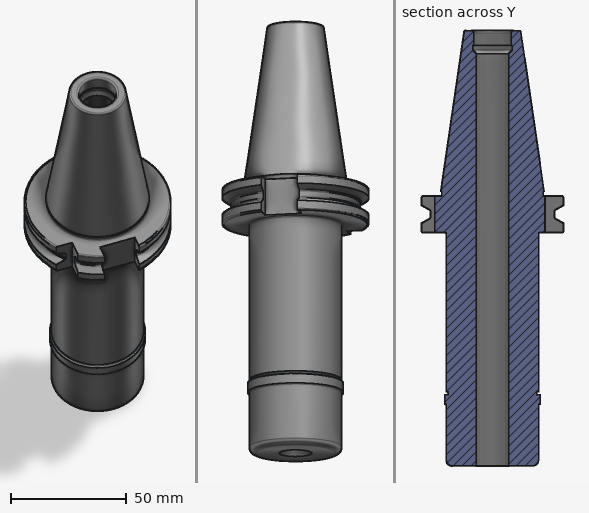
import cadquery as cq
import math

total_height = 188.4
gauge_plane_z = 120.0
flange_top_z = 116.8
flange_bottom_z = 101.0

gauge_radius = 22.2
taper_ratio = 7 / 24
taper_top_rounding = 0.8

undercut_height = 2.0
undercut_depth = 0.4
undercut_rounding = 0.28

flange_diameter = 63.5
flange_radius = flange_diameter / 2
flange_edge_rounding = 0.8
groove_floor_radius = 28.0
groove_floor_width = 3.4
groove_flank_angle = 30.0
groove_floor_rounding = 0.8
groove_center_z = 108.9

slot_width = 16.0
slot_floor_left = 22.8
slot_floor_right = 25.0
notch_corner = 18.5

body_diameter = 40.1
body_radius = body_diameter / 2
corner_rounding = 0.5
relief_radius = 19.2
relief_height = 1.3
relief_rounding = 0.4
ring_radius = 20.7
ring_top_z = 30.9
ring_height = 4.1
ring_rounding = 0.4
nose_rounding = 2.6

bore_radius = 7.0
counterbore_radius = 8.1
counterbore_depth = 8.5
mouth_rounding = 1.0


def point_towards(start, target, distance):
    """Point at the given distance from start along the line to target."""
    share = distance / math.dist(start, target)
    return (start[0] + (target[0] - start[0]) * share, start[1] + (target[1] - start[1]) * share)


def turned_solid(corners):
    """Revolve a closed (radius, height, rounding) outline about Z, rounding its corners."""
    outline = cq.Workplane("XZ").moveTo(*corners[0][:2])
    for index in range(1, len(corners)):
        corner = corners[index][:2]
        rounding = corners[index][2]
        if rounding == 0:
            outline = outline.lineTo(*corner)
            continue
        before = corners[index - 1][:2]
        after = corners[(index + 1) % len(corners)][:2]
        angle_before = math.atan2(before[1] - corner[1], before[0] - corner[0])
        angle_after = math.atan2(after[1] - corner[1], after[0] - corner[0])
        half_angle = abs(math.remainder(angle_after - angle_before, 2 * math.pi)) / 2
        arc_start = point_towards(corner, before, rounding / math.tan(half_angle))
        arc_end = point_towards(corner, after, rounding / math.tan(half_angle))
        chord_middle = ((arc_start[0] + arc_end[0]) / 2, (arc_start[1] + arc_end[1]) / 2)
        arc_middle = point_towards(corner, chord_middle, rounding / math.sin(half_angle) - rounding)
        outline = outline.lineTo(*arc_start).threePointArc(arc_middle, arc_end)
    return outline.close().revolve(360, (0, 0), (0, 1))


def taper_radius(height):
    """Radius of the taper cone at a given height."""
    return gauge_radius - (height - gauge_plane_z) * taper_ratio / 2


def holder_blank():
    """Hollow turned form: nose, ring, body, grooved flange, taper and stepped bore."""
    flank_height = (flange_radius - groove_floor_radius) * math.tan(math.radians(groove_flank_angle))
    floor_top_z = groove_center_z + groove_floor_width / 2
    floor_bottom_z = groove_center_z - groove_floor_width / 2
    ring_bottom_z = ring_top_z - ring_height
    relief_top_z = ring_top_z + relief_height
    taper_base_z = flange_top_z + undercut_height
    taper_base_radius = taper_radius(taper_base_z)
    undercut_radius = taper_base_radius - undercut_depth
    shoulder_z = total_height - counterbore_depth
    bore_undercut_radius = counterbore_radius + undercut_depth
    bore_undercut_top_z = shoulder_z + undercut_height
    seat_z = shoulder_z - (bore_undercut_radius - bore_radius)
    return turned_solid([
        (bore_radius, 0, 0),
        (body_radius, 0, nose_rounding),
        (body_radius, ring_bottom_z, ring_rounding),
        (ring_radius, ring_bottom_z, 0),
        (ring_radius, ring_top_z, 0),
        (relief_radius, ring_top_z, relief_rounding),
        (relief_radius, relief_top_z, relief_rounding),
        (body_radius, relief_top_z, 0),
        (body_radius, flange_bottom_z, corner_rounding),
        (flange_radius, flange_bottom_z, flange_edge_rounding),
        (flange_radius, floor_bottom_z - flank_height, 0),
        (groove_floor_radius, floor_bottom_z, groove_floor_rounding),
        (groove_floor_radius, floor_top_z, groove_floor_rounding),
        (flange_radius, floor_top_z + flank_height, 0),
        (flange_radius, flange_top_z, flange_edge_rounding),
        (undercut_radius, flange_top_z, undercut_rounding),
        (undercut_radius, taper_base_z, undercut_rounding),
        (taper_base_radius, taper_base_z, 0),
        (taper_radius(total_height), total_height, taper_top_rounding),
        (counterbore_radius, total_height, mouth_rounding),
        (counterbore_radius, bore_undercut_top_z, 0),
        (bore_undercut_radius, bore_undercut_top_z, undercut_rounding),
        (bore_undercut_radius, shoulder_z, undercut_rounding),
        (bore_radius, seat_z, 0),
    ])


def flange_cutter(x_start, x_end, y_start, y_end):
    """Box as tall as the flange, used to cut straight through it."""
    height = flange_top_z - flange_bottom_z
    cutter = cq.Workplane("XY").box(x_end - x_start, y_end - y_start, height, centered=False)
    return cutter.translate((x_start, y_start, flange_bottom_z))


left_slot = flange_cutter(-flange_radius, -slot_floor_left, -slot_width / 2, slot_width / 2)
right_slot = flange_cutter(slot_floor_right, flange_radius, -slot_width / 2, slot_width / 2)
corner_notch = flange_cutter(notch_corner, flange_radius, -flange_radius, -notch_corner)

result = holder_blank()
for cutter in (left_slot, right_slot, corner_notch):
    result = result.cut(cutter)